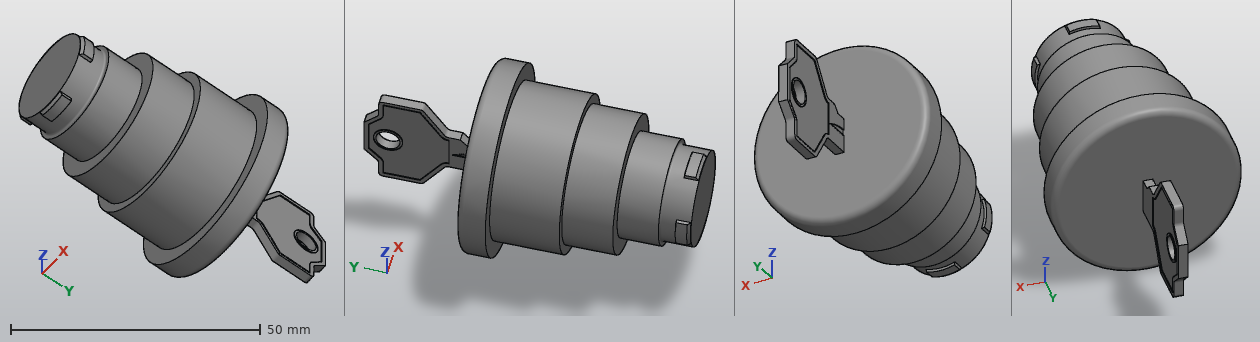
import cadquery as cq
import math


neck_diameter = 19.8
neck_end = 6.45
body_steps = [(22.0, 15.0), (29.0, 25.55), (33.0, 40.0)]
neck_fillet = 0.4

cap_diameter = 40.0
cap_face = 46.0
cap_rounding = 1.5

lug_count = 4
lug_radius = 10.5
lug_length = 3.1
lug_chamfer = 0.7
lug_root_height = 9.3
lug_root_width = 6.6
lug_top_width = 6.15

key_tip = 70.0
key_thickness = 2.0
key_embed = 0.7
blade_half_width = 4.55
blade_notch_depth = 1.5
blade_notch_start = 50.05
bow_start = 53.0
bow_flank_end = 57.9
bow_shoulder = 67.0
bow_half_width = 11.5
bow_shoulder_half_width = 7.1
bow_tip_half_width = 4.1
bow_corner_radius = 1.0

rim_width = 1.0
recess_depth = 0.2
recess_start = 52.4
ring_hole_diameter = 5.0
ring_rim_diameter = 6.0
ring_hole_y = 65.0

groove_depth = 0.2
groove_tip = 51.65
groove_bottom = -0.7
groove_height = 1.25


def disc(diameter, start, end):
    """Cylinder on the Y axis between two Y positions."""
    return cq.Workplane("XZ", origin=(0, start, 0)).circle(diameter / 2).extrude(start - end)


def make_body():
    body = disc(neck_diameter, 0, neck_end)
    start = neck_end
    for diameter, end in body_steps:
        body = body.union(disc(diameter, start, end))
        start = end
    cap = disc(cap_diameter, start, cap_face).faces(">Y").edges().fillet(cap_rounding)
    return body.union(cap)


def make_neck_fillet():
    """Concave fillet where the neck meets the shoulder of the first step."""
    neck_radius = neck_diameter / 2
    arc_offset = neck_fillet * (1 - math.sqrt(0.5))
    return (
        cq.Workplane("XY")
        .moveTo(0, neck_end - neck_fillet)
        .lineTo(neck_radius, neck_end - neck_fillet)
        .threePointArc(
            (neck_radius + arc_offset, neck_end - arc_offset),
            (neck_radius + neck_fillet, neck_end),
        )
        .lineTo(0, neck_end)
        .close()
        .revolve(360, (0, 0, 0), (0, 1, 0))
    )


def make_lugs():
    """Chamfered ring cut down to evenly spaced lugs that narrow slightly outward."""
    ring = disc(2 * lug_radius, 0, lug_length).faces("<Y").edges().chamfer(lug_chamfer)
    wedge = (
        cq.Workplane("XZ")
        .polyline([
            (-lug_root_width / 2, lug_root_height),
            (lug_root_width / 2, lug_root_height),
            (lug_top_width / 2, lug_radius),
            (-lug_top_width / 2, lug_radius),
        ])
        .close()
        .extrude(-lug_length)
    )
    wedges = wedge
    for index in range(1, lug_count):
        wedges = wedges.union(wedge.rotate((0, 0, 0), (0, 1, 0), index * 360 / lug_count))
    return ring.intersect(wedges)


def bow_outline(plane):
    """Symmetric outline of the key without the notch in its blade."""
    upper = [
        (cap_face - key_embed, blade_half_width),
        (bow_start, blade_half_width),
        (bow_flank_end, bow_half_width),
        (bow_shoulder, bow_half_width),
        (bow_shoulder, bow_shoulder_half_width),
        (key_tip, bow_tip_half_width),
    ]
    lower = [(y, -z) for y, z in reversed(upper)]
    return plane.polyline(upper + lower).close()


def round_bow_corners(plate, radius, max_half_width):
    """Round the corners between blade and tip that lie within max_half_width of the key axis."""
    margin = 0.1
    return (
        plate.edges("|X")
        .filter(lambda edge: bow_start - margin < edge.Center().y < bow_shoulder + margin)
        .filter(lambda edge: abs(edge.Center().z) < max_half_width + margin)
        .fillet(radius)
    )


def make_recess():
    """Recess following the bow outline, leaving a rim at the edge and around the hole."""
    pocket = bow_outline(cq.Workplane("YZ")).offset2D(-rim_width, "intersection").extrude(recess_depth)
    pocket = round_bow_corners(pocket, bow_corner_radius + rim_width, bow_shoulder_half_width)
    bow_zone = cq.Workplane("YZ").rect(2 * (key_tip - recess_start), 2 * bow_half_width)
    bow_zone = bow_zone.extrude(recess_depth).translate((0, key_tip, 0))
    ring_rim = cq.Workplane("YZ").center(ring_hole_y, 0).circle(ring_rim_diameter / 2)
    return pocket.intersect(bow_zone).cut(ring_rim.extrude(recess_depth))


def make_groove():
    """Groove whose upper edge is an arc that levels out where it meets the cap."""
    groove_length = groove_tip - cap_face
    arc_radius = (groove_length**2 + groove_height**2) / (2 * groove_height)
    half_angle = math.asin(groove_length / arc_radius) / 2
    arc_middle = (
        cap_face + arc_radius * math.sin(half_angle),
        groove_bottom + groove_height - arc_radius * (1 - math.cos(half_angle)),
    )
    return (
        cq.Workplane("YZ")
        .moveTo(groove_tip, groove_bottom)
        .threePointArc(arc_middle, (cap_face, groove_bottom + groove_height))
        .lineTo(cap_face, groove_bottom)
        .close()
        .extrude(groove_depth)
    )


def make_key():
    half_thickness = key_thickness / 2
    key = bow_outline(cq.Workplane("YZ")).extrude(half_thickness, both=True)
    key = round_bow_corners(key, bow_corner_radius, bow_half_width)

    notch_floor = blade_half_width - blade_notch_depth
    notch = (
        cq.Workplane("YZ")
        .polyline([
            (cap_face, blade_half_width),
            (blade_notch_start, blade_half_width),
            (blade_notch_start - blade_notch_depth, notch_floor),
            (cap_face, notch_floor),
        ])
        .close()
        .extrude(half_thickness, both=True)
    )
    hole = cq.Workplane("YZ").center(ring_hole_y, 0).circle(ring_hole_diameter / 2)
    key = key.cut(notch).cut(hole.extrude(half_thickness, both=True))

    recess = make_recess()
    key = key.cut(recess.translate((-half_thickness, 0, 0)))
    key = key.cut(recess.translate((half_thickness - recess_depth, 0, 0)))
    return key.cut(make_groove().translate((-half_thickness, 0, 0)))


result = make_body().union(make_neck_fillet()).union(make_lugs()).union(make_key())